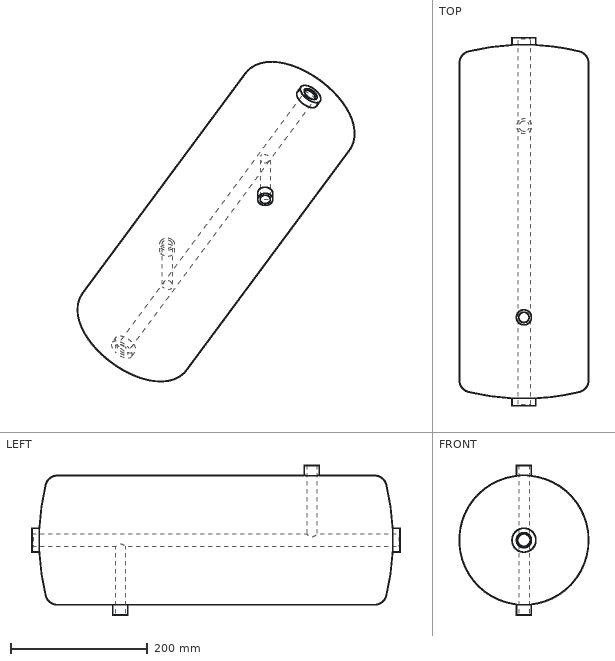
import cadquery as cq
import math

overall_length = 540.0
overall_height = 220.0
shell_diameter = 190.0
straight_length = 464.5
knuckle_radius = 18.5
crown_edge_radius = 81.0

end_boss_diameter = 35.0
bore_mouth_diameter = 22.0
axial_bore_diameter = 18.5
side_port_diameter = 22.0
side_bore_diameter = 15.0
side_port_offset = 140.5

shell_radius = shell_diameter / 2
half_straight = straight_length / 2
knuckle_center = shell_radius - knuckle_radius
crown_angle = math.asin((crown_edge_radius - knuckle_center) / knuckle_radius)
crown_radius = crown_edge_radius / math.sin(crown_angle)
crown_center = half_straight - (crown_radius - knuckle_radius) * math.cos(crown_angle)


def vessel():
    """Solid of revolution about Y with a torispherical head at each end."""

    def on_knuckle(angle):
        radius = knuckle_center + knuckle_radius * math.sin(angle)
        return radius, half_straight + knuckle_radius * math.cos(angle)

    def on_crown(angle):
        return crown_radius * math.sin(angle), crown_center + crown_radius * math.cos(angle)

    def mirrored(point):
        return point[0], -point[1]

    wall_end = on_knuckle(math.pi / 2)
    knuckle_middle = on_knuckle((math.pi / 2 + crown_angle) / 2)
    seam = on_crown(crown_angle)
    crown_middle = on_crown(crown_angle / 2)
    apex = on_crown(0)
    return (
        cq.Workplane("XY")
        .moveTo(*mirrored(apex))
        .threePointArc(mirrored(crown_middle), mirrored(seam))
        .threePointArc(mirrored(knuckle_middle), mirrored(wall_end))
        .lineTo(*wall_end)
        .threePointArc(knuckle_middle, seam)
        .threePointArc(crown_middle, apex)
        .close()
        .revolve(360, (0, 0, 0), (0, 1, 0))
    )


def rod(diameter, length, start, direction):
    """Cylinder running from start along direction."""
    cylinder = cq.Solid.makeCylinder(diameter / 2, length, cq.Vector(*start), cq.Vector(*direction))
    return cq.Workplane(cylinder)


body = vessel()
body = body.union(rod(end_boss_diameter, overall_length, (0, -overall_length / 2, 0), (0, 1, 0)))
for side in (1, -1):
    port_start = (0, -side * side_port_offset, 0)
    body = body.union(rod(side_port_diameter, overall_height / 2, port_start, (0, 0, side)))

body = body.cut(rod(axial_bore_diameter, overall_length, (0, -overall_length / 2, 0), (0, 1, 0)))
mouth_radius = bore_mouth_diameter / 2
bore_radius = axial_bore_diameter / 2
for end in (1, -1):
    boss_face = cq.Vector(0, end * overall_length / 2, 0)
    inward = cq.Vector(0, -end, 0)
    countersink = cq.Solid.makeCone(mouth_radius, bore_radius, mouth_radius - bore_radius, boss_face, inward)
    body = body.cut(cq.Workplane(countersink))

for side in (1, -1):
    port_start = (0, -side * side_port_offset, 0)
    body = body.cut(rod(side_bore_diameter, overall_height / 2, port_start, (0, 0, side)))

result = body